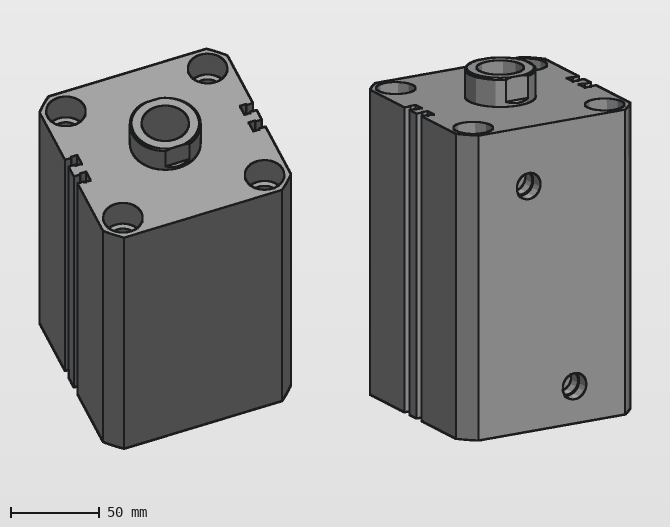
import cadquery as cq
import math

TOTAL_HEIGHT = 197.0
BODY_WIDTH = 114.0
BODY_HEIGHT = 180.0
CORNER_RADIUS = 74.5

MOUNT_PITCH = 85.9
MOUNT_DIAMETER = 15.0
COUNTERBORE_DIAMETER = 22.3
COUNTERBORE_DEPTH = 17.7

SLOT_SPACING = 13.4
SLOT_MOUTH = 5.5
SLOT_WIDTH = 7.0
SLOT_LIP = 4.0
SLOT_DEPTH = 7.7

PORT_DIAMETER = 15.4
PORT_DEPTH = 8.0
PORT_BORE_DIAMETER = 14.2
PORT_BORE_DEPTH = 15.8
PORT_OFFSET = 15.0
LOWER_PORT_HEIGHT = 22.0
UPPER_PORT_HEIGHT = 145.0

ROD_DIAMETER = 40.0
ROD_INSERTION = 39.4
ROD_CHAMFER = 1.0
ROD_FLATS = 37.2
FLAT_LENGTH = 14.0
ROD_HOLE_DIAMETER = 26.5
ROD_HOLE_DEPTH = 35.5
DRILL_POINT_ANGLE = 118.0


def make_mount_holes():
    """Four through holes, each counterbored from the top."""
    holes = (
        cq.Workplane("XY")
        .rect(MOUNT_PITCH, MOUNT_PITCH, forConstruction=True)
        .vertices()
        .circle(MOUNT_DIAMETER / 2)
        .extrude(BODY_HEIGHT)
    )
    counterbores = (
        cq.Workplane("XY", origin=(0, 0, BODY_HEIGHT))
        .rect(MOUNT_PITCH, MOUNT_PITCH, forConstruction=True)
        .vertices()
        .circle(COUNTERBORE_DIAMETER / 2)
        .extrude(-COUNTERBORE_DEPTH)
    )
    return holes.union(counterbores)


def make_slot(x, side):
    """One full-height T-slot at x; side is -1 for the -Y face and +1 for the +Y face."""
    face_y = side * BODY_WIDTH / 2
    mouth = (
        cq.Workplane("XY")
        .center(x, face_y - side * SLOT_DEPTH / 2)
        .rect(SLOT_MOUTH, SLOT_DEPTH)
        .extrude(BODY_HEIGHT)
    )
    undercut = (
        cq.Workplane("XY")
        .center(x, face_y - side * (SLOT_LIP + SLOT_DEPTH) / 2)
        .rect(SLOT_WIDTH, SLOT_DEPTH - SLOT_LIP)
        .extrude(BODY_HEIGHT)
    )
    return mouth.union(undercut)


def make_port(y, z):
    """A stepped blind port that runs in from the -X face."""
    mouth_plane = cq.Workplane("YZ", origin=(-BODY_WIDTH / 2, y, z))
    mouth = mouth_plane.circle(PORT_DIAMETER / 2).extrude(PORT_DEPTH)
    bore = mouth_plane.circle(PORT_BORE_DIAMETER / 2).extrude(PORT_BORE_DEPTH)
    return mouth.union(bore)


def make_rod_pocket():
    """The blind bore in the top face that the rod fills."""
    top = cq.Workplane("XY", origin=(0, 0, BODY_HEIGHT))
    return top.circle(ROD_DIAMETER / 2).extrude(-ROD_INSERTION)


def make_cylinder_body():
    block = cq.Workplane("XY").rect(BODY_WIDTH, BODY_WIDTH).extrude(BODY_HEIGHT)
    corner_envelope = cq.Workplane("XY").circle(CORNER_RADIUS).extrude(BODY_HEIGHT)
    body = block.intersect(corner_envelope)
    body = body.cut(make_mount_holes())
    for side in (-1, 1):
        for x in (-SLOT_SPACING / 2, SLOT_SPACING / 2):
            body = body.cut(make_slot(x, side))
    body = body.cut(make_port(-PORT_OFFSET, LOWER_PORT_HEIGHT))
    body = body.cut(make_port(PORT_OFFSET, UPPER_PORT_HEIGHT))
    return body.cut(make_rod_pocket())


def make_wrench_flat(side):
    """Cutter for one flat, with a 45-degree run-out at its lower end; side is -1 or +1 along X."""
    flat_x = side * ROD_FLATS / 2
    rod_x = side * ROD_DIAMETER / 2
    run_out = (ROD_DIAMETER - ROD_FLATS) / 2
    flat_bottom = TOTAL_HEIGHT - FLAT_LENGTH
    outline = [
        (flat_x, TOTAL_HEIGHT),
        (flat_x, flat_bottom),
        (rod_x, flat_bottom - run_out),
        (rod_x, TOTAL_HEIGHT),
    ]
    return cq.Workplane("XZ").polyline(outline).close().extrude(ROD_DIAMETER / 2, both=True)


def make_rod_hole():
    """Blind axial hole in the rod end, with a conical drill point."""
    radius = ROD_HOLE_DIAMETER / 2
    point_length = radius / math.tan(math.radians(DRILL_POINT_ANGLE / 2))
    shoulder_z = TOTAL_HEIGHT - ROD_HOLE_DEPTH
    profile = [
        (0, TOTAL_HEIGHT),
        (radius, TOTAL_HEIGHT),
        (radius, shoulder_z),
        (0, shoulder_z - point_length),
    ]
    return cq.Workplane("XZ").polyline(profile).close().revolve(360, (0, 0, 0), (0, 1, 0))


def make_piston_rod():
    rod_bottom = BODY_HEIGHT - ROD_INSERTION
    rod = (
        cq.Workplane("XY", origin=(0, 0, rod_bottom))
        .circle(ROD_DIAMETER / 2)
        .extrude(TOTAL_HEIGHT - rod_bottom)
        .faces(">Z")
        .chamfer(ROD_CHAMFER)
    )
    for side in (-1, 1):
        rod = rod.cut(make_wrench_flat(side))
    return rod.cut(make_rod_hole())


cylinder_body = make_cylinder_body()
piston_rod = make_piston_rod()

result = cq.Compound.makeCompound([cylinder_body.val(), piston_rod.val()])